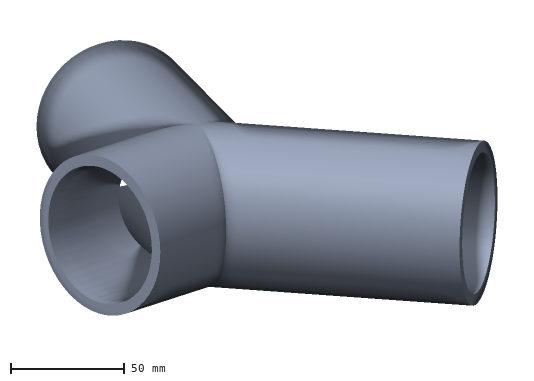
import cadquery as cq
import math

span = 256.5
outer_diameter = 73.0
bore_diameter = 62.8
branch_tilt = 30.0

outer_radius = outer_diameter / 2
tilt = math.radians(branch_tilt)

branch_length = (span / 2 - outer_radius * math.sin(tilt)) / math.cos(tilt)
stem_length = branch_length / 2

tubes = [
    (branch_tilt, branch_length),
    (180.0 - branch_tilt, branch_length),
    (270.0, stem_length),
]


def joined_cylinders(diameter):
    """Union of one cylinder per tube, each running outward from the junction."""
    body = None
    for angle, length in tubes:
        cylinder = (
            cq.Workplane("YZ")
            .circle(diameter / 2)
            .extrude(length)
            .rotate((0, 0, 0), (0, 0, 1), angle)
        )
        body = body.union(cylinder) if body else cylinder
    return body


result = joined_cylinders(outer_diameter).cut(joined_cylinders(bore_diameter))